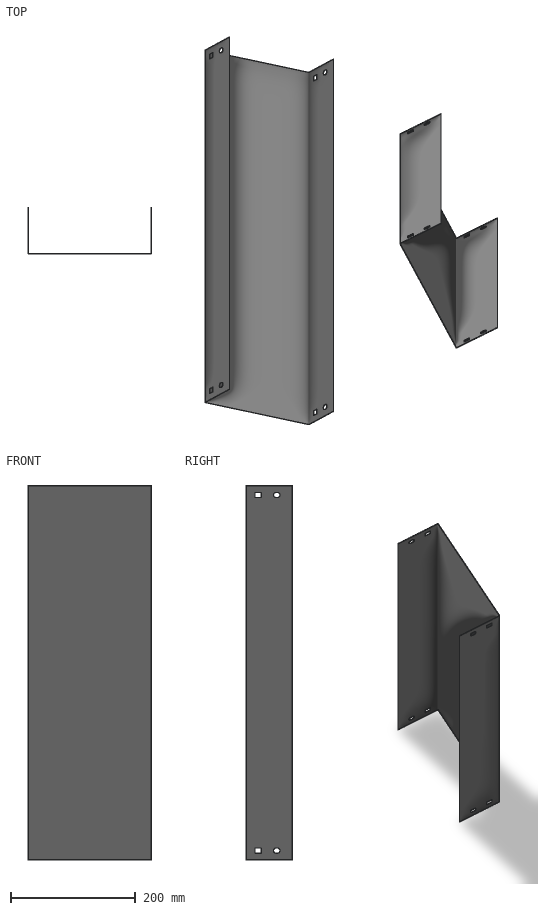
import cadquery as cq

WIDTH = 197.5
DEPTH = 74.5
HEIGHT = 600.0
SHEET = 0.7
BEND_RADIUS = 0.95

HOLE_HEIGHT = 8.0
ROUND_SLOT_LENGTH = 10.0
SQUARE_SLOT_LENGTH = 9.5
SQUARE_SLOT_FROM_FRONT = 19.0
SLOT_SPACING = 30.0
ROUND_SLOT_FROM_FRONT = SQUARE_SLOT_FROM_FRONT + SLOT_SPACING
HOLE_FROM_END = 15.0


def folded_channel():
    """U-shaped sheet: a front panel at Y = 0 with two flanges toward +Y."""
    outside = (
        cq.Workplane("XY")
        .box(WIDTH, DEPTH, HEIGHT, centered=(True, False, False))
        .edges("|Z and <Y")
        .fillet(BEND_RADIUS)
    )
    inside = (
        cq.Workplane("XY")
        .box(WIDTH - 2 * SHEET, DEPTH, HEIGHT, centered=(True, False, False))
        .edges("|Z and <Y")
        .fillet(BEND_RADIUS - SHEET)
        .translate((0, SHEET, 0))
    )
    return outside.cut(inside)


def flange_holes(z):
    """Cutters for one round-ended and one rectangular slot through both flanges."""
    flange_plane = cq.Workplane("YZ")
    round_slot = (
        flange_plane.center(ROUND_SLOT_FROM_FRONT, z)
        .slot2D(ROUND_SLOT_LENGTH, HOLE_HEIGHT)
        .extrude(WIDTH, both=True)
    )
    square_slot = (
        flange_plane.center(SQUARE_SLOT_FROM_FRONT, z)
        .rect(SQUARE_SLOT_LENGTH, HOLE_HEIGHT)
        .extrude(WIDTH, both=True)
    )
    return round_slot.union(square_slot)


result = folded_channel()
for hole_z in (HOLE_FROM_END, HEIGHT - HOLE_FROM_END):
    result = result.cut(flange_holes(hole_z))